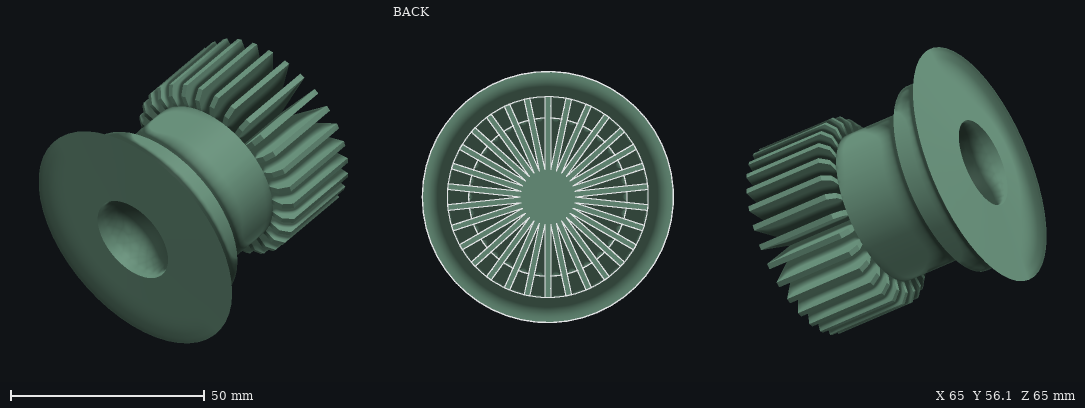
import cadquery as cq

flange_depth = 1.05
collar_length = 10.0
neck_length = 21.0
fin_length = 24.0

flange_radius = 32.5
collar_radius = 26.0
neck_radius = 20.5

recess_radius = 11.8
recess_depth = 14.55
recess_wall_radius = 18.5

fin_count = 30
first_fin_angle = 90
fin_thickness = 1.5
fin_radius = collar_radius
fin_chamfer_axial = 1.95
fin_chamfer_radial = 2.4

collar_front = flange_depth
neck_front = collar_front + collar_length
fin_front = neck_front + neck_length
fin_back = fin_front + fin_length


def make_body():
    """Turned body: shallow conical flange with a sharp rim, collar and neck."""
    profile = (
        cq.Workplane("XY")
        .moveTo(0, 0)
        .lineTo(recess_radius, 0)
        .lineTo(flange_radius, collar_front)
        .lineTo(collar_radius, collar_front)
        .lineTo(collar_radius, neck_front)
        .lineTo(neck_radius, neck_front)
        .lineTo(neck_radius, fin_front)
        .lineTo(0, fin_front)
        .close()
    )
    return profile.revolve(360, (0, 0, 0), (0, 1, 0))


def make_recess():
    """Dome with a bulging arc for its wall, narrowing to a point on the axis."""
    profile = (
        cq.Workplane("XY")
        .moveTo(0, 0)
        .lineTo(recess_radius, 0)
        .radiusArc((0, recess_depth), -recess_wall_radius)
        .close()
    )
    return profile.revolve(360, (0, 0, 0), (0, 1, 0))


def make_fin():
    """One flat fin from the axis outward along +X, its front outer corner cut off."""
    return (
        cq.Workplane("XY")
        .moveTo(0, fin_front)
        .lineTo(fin_radius - fin_chamfer_radial, fin_front)
        .lineTo(fin_radius, fin_front + fin_chamfer_axial)
        .lineTo(fin_radius, fin_back)
        .lineTo(0, fin_back)
        .close()
        .extrude(fin_thickness / 2, both=True)
    )


result = make_body().cut(make_recess())

fin = make_fin()
for i in range(fin_count):
    fin_angle = first_fin_angle + i * 360 / fin_count
    result = result.union(fin.rotate((0, 0, 0), (0, 1, 0), fin_angle))